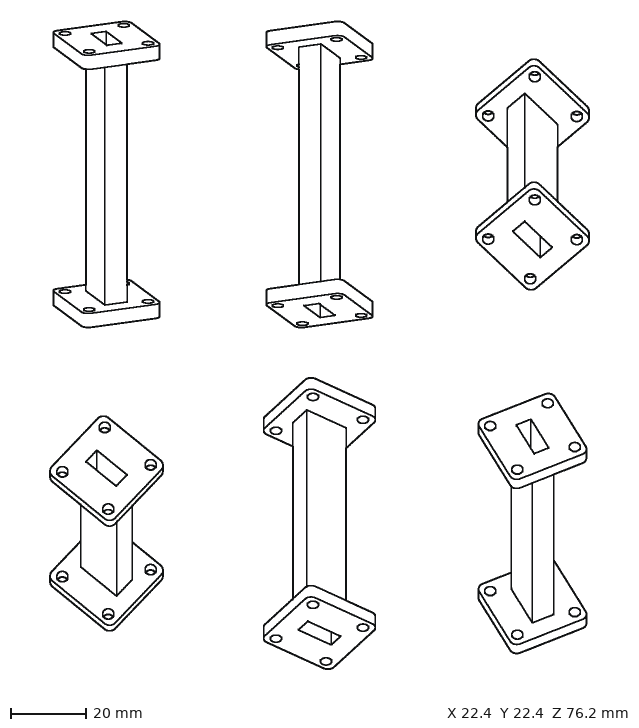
import cadquery as cq

length = 76.2
flange_side = 22.4
flange_thickness = 4.0
corner_radius = 2.0

bore_x = 10.7
bore_y = 4.35
tube_x = 12.7
tube_y = 6.4

hole_diameter = 3.0
hole_spacing_x = 16.2
hole_spacing_y = 17.0


def flange(base_z):
    """Rounded square flange with four bolt holes, its lower face at base_z."""
    plate = (
        cq.Workplane("XY", origin=(0, 0, base_z))
        .rect(flange_side, flange_side)
        .extrude(flange_thickness)
        .edges("|Z")
        .fillet(corner_radius)
    )
    holes = (
        cq.Workplane("XY", origin=(0, 0, base_z))
        .rect(hole_spacing_x, hole_spacing_y, forConstruction=True)
        .vertices()
        .circle(hole_diameter / 2)
        .extrude(flange_thickness)
    )
    return plate.cut(holes)


tube = cq.Workplane("XY").rect(tube_x, tube_y).extrude(length)
bore = cq.Workplane("XY").rect(bore_x, bore_y).extrude(length)

body = tube
for base_z in (0, length - flange_thickness):
    body = body.union(flange(base_z))

result = body.cut(bore)